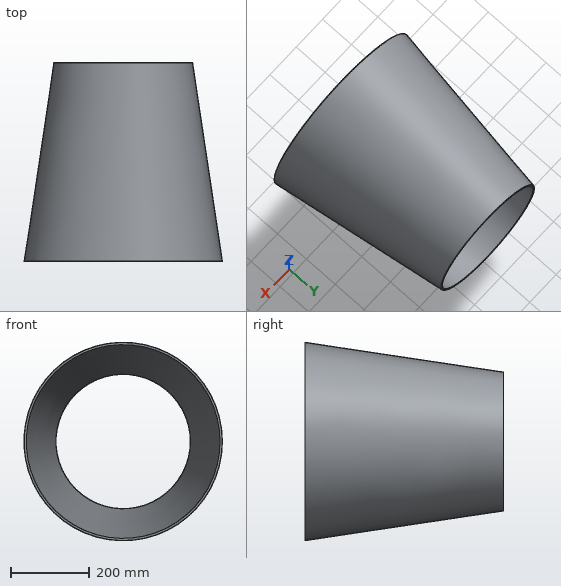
import cadquery as cq

length = 508.0
large_diameter = 508.0
small_diameter = 355.5
wall = 6.0

large_radius = large_diameter / 2
small_radius = small_diameter / 2
front_y = -length / 2
back_y = length / 2

wall_section = (
    cq.Workplane("XY")
    .moveTo(large_radius - wall, front_y)
    .lineTo(large_radius, front_y)
    .lineTo(small_radius, back_y)
    .lineTo(small_radius - wall, back_y)
    .close()
)

result = wall_section.revolve(360, (0, 0, 0), (0, 1, 0))